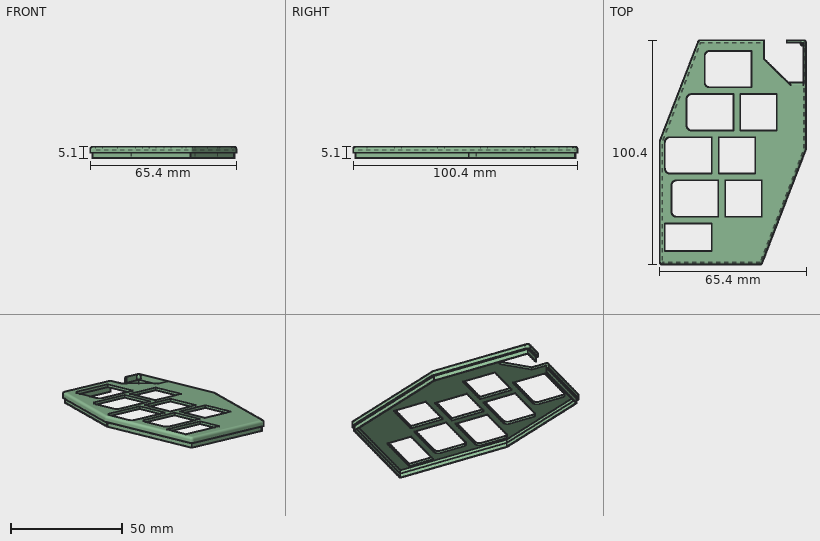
import cadquery as cq

width = 65.4
length = 100.4
height = 5.1

edge_radius = 1.3
rim_rounding = 1.2
lip_height = 2.3
lip_thickness = 0.3
wall_thickness = 1.2
plate_thickness = 1.3

left = edge_radius
right = width - edge_radius
bottom = edge_radius
top = length - edge_radius
left_corner_y = 54.9
right_corner_y = 51.8
top_left_x = 18.4
bottom_right_x = 44.7
corner_centers = [
    (left, bottom),
    (bottom_right_x, bottom),
    (right, right_corner_y),
    (right, top),
    (top_left_x, top),
    (left, left_corner_y),
]

inner_offset = edge_radius - wall_thickness
inner_right = width - wall_thickness
inner_top = length - wall_thickness

row_pitch = 19.3
window_top_y = 95.4
window_height = 16.2
wide_window_width = 20.9
window_corner_radius = 2.2
square_offset = 24.1
last_window_height = 12.1
row_lefts = [20.2, 12.0, 2.4, 5.3]
rows_with_square = [1, 2, 3]
last_row_left = 2.4

opening_left_x = 46.7
opening_slope_start_y = 91.9
opening_slope_end_x = 57.3
opening_bottom_y = 81.5
wall_gap_right_x = 56.7


def center_outline():
    return cq.Workplane("XY").polyline(corner_centers).close()


def rim():
    body = center_outline().offset2D(edge_radius).extrude(height - lip_height)
    return body.translate((0, 0, lip_height)).faces(">Z").edges().fillet(rim_rounding)


def window(x_left, y_top, x_size, y_size):
    return (
        cq.Workplane("XY")
        .box(x_size, y_size, height, centered=False)
        .translate((x_left, y_top - y_size, 0))
    )


def key_windows():
    cutters = []
    for row, x_left in enumerate(row_lefts):
        y_top = window_top_y - row * row_pitch
        wide = window(x_left, y_top, wide_window_width, window_height)
        cutters.append(wide.edges("|Z and <X").fillet(window_corner_radius))
        if row in rows_with_square:
            cutters.append(window(x_left + square_offset, y_top, window_height, window_height))
    last_y_top = window_top_y - len(row_lefts) * row_pitch
    cutters.append(window(last_row_left, last_y_top, wide_window_width, last_window_height))
    return cutters


def corner_opening():
    """Opening inside the walls, with the plate edge rounded along its lower side."""
    opening = (
        cq.Workplane("XY")
        .moveTo(opening_left_x, inner_top)
        .lineTo(opening_left_x, opening_slope_start_y)
        .lineTo(opening_slope_end_x, opening_bottom_y)
        .lineTo(inner_right, opening_bottom_y)
        .lineTo(inner_right, inner_top)
        .close()
        .extrude(height)
    )
    round_center_y = opening_bottom_y - edge_radius
    rounding = (
        cq.Workplane("YZ", origin=(opening_slope_end_x, 0, 0))
        .moveTo(opening_bottom_y, height)
        .lineTo(round_center_y, height)
        .radiusArc((opening_bottom_y, height - edge_radius), edge_radius)
        .close()
        .extrude(inner_right - opening_slope_end_x)
    )
    slope_side = (
        cq.Workplane("XY")
        .moveTo(opening_slope_end_x, opening_bottom_y)
        .lineTo(opening_slope_end_x + edge_radius, round_center_y)
        .lineTo(inner_right, round_center_y)
        .lineTo(inner_right, opening_bottom_y)
        .close()
        .extrude(height)
    )
    return opening.union(rounding.intersect(slope_side))


def wall_gap():
    """Gap through the upper wall beside the corner opening."""
    return (
        cq.Workplane("XY")
        .box(wall_gap_right_x - opening_left_x, wall_thickness, height, centered=False)
        .translate((opening_left_x, inner_top, 0))
    )


lip = center_outline().offset2D(inner_offset + lip_thickness, "intersection").extrude(lip_height)
cavity = center_outline().offset2D(inner_offset, "intersection").extrude(height - plate_thickness)

result = rim().union(lip).cut(cavity.union(corner_opening()))
for cutter in key_windows():
    result = result.cut(cutter)
result = result.cut(wall_gap())

corner_ball = cq.Workplane("XY").sphere(edge_radius).translate((right, top, height - edge_radius))
result = result.union(corner_ball)